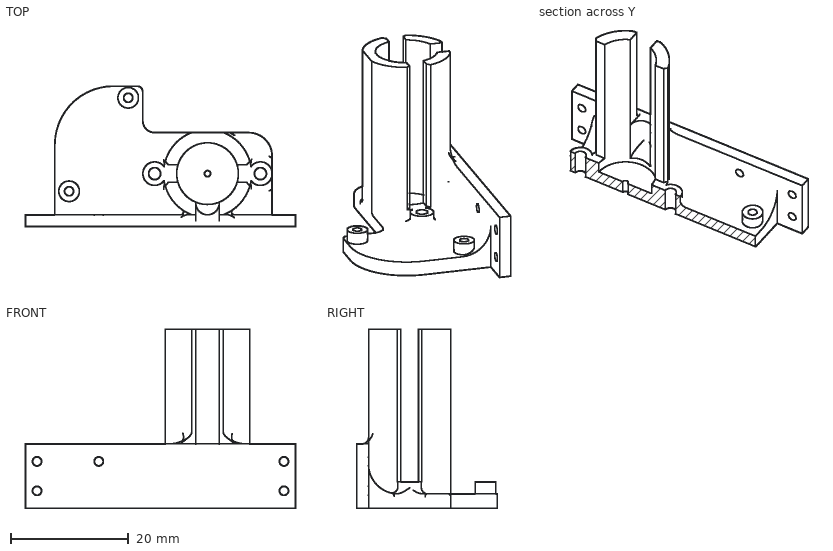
import cadquery as cq
import math

wall_length = 46.0
wall_thickness = 2.0
wall_height = 11.0
wall_hole_diameter = 1.5
wall_hole_margin = 2.0
wall_hole_rows = (3.0, 8.0)
extra_hole_x = 12.5

plate_thickness = 2.5
plate_left = 5.0
plate_right = 42.0
notch_x = 20.0
plate_back = 23.9
large_corner_radius = 10.0
tab_corner_radius = 1.0
notch_radius = 2.0
right_corner_radius = 4.0
wall_root_radius = 5.0
edge_round_radius = 0.5

axis_x = 31.0
axis_y = 9.0
tube_radius = 7.5
tube_half_depth = axis_y - wall_thickness
tube_back = axis_y + tube_half_depth
tube_top = 30.5
bore_diameter = 10.5
shaft_hole_diameter = 1.0
tube_root_radius = 0.46
side_slot_width = 3.0
front_slot_width = 4.0
wire_hole_y = 4.0

ring_blend_radius = 2.0
flat_blend_radius = 1.0
blend_top = wall_height + ring_blend_radius

boss_offset = 9.0
boss_diameter = 4.0
boss_hole_diameter = 2.0
boss_top = 4.5
boss_root_radius = 1.0
boss_foot_diameter = 6.6
screw_head_clearance = 5.5

selection_margin = 0.1

post_diameter = 3.5
post_hole_diameter = 1.5
post_top = boss_top
post_centers = ((17.5, 21.9), (7.45, 6.0))


def block(x_min, x_max, y_min, y_max, z_min, z_max):
    """Box given by its limits along each axis."""
    size = (x_max - x_min, y_max - y_min, z_max - z_min)
    return cq.Workplane("XY").box(*size, centered=False).translate((x_min, y_min, z_min))


def cylinder(x, y, diameter, z_min, z_max):
    """Upright cylinder."""
    return cq.Workplane("XY", origin=(x, y, z_min)).circle(diameter / 2).extrude(z_max - z_min)


def ring_blend():
    """Concave ring blend around the tube, standing on the level of the wall's top."""
    sag = ring_blend_radius * (1 - math.sqrt(0.5))
    core_radius = tube_radius / 2
    return (
        cq.Workplane("XZ", origin=(axis_x, axis_y, 0))
        .moveTo(core_radius, wall_height)
        .lineTo(tube_radius + ring_blend_radius, wall_height)
        .threePointArc((tube_radius + sag, wall_height + sag), (tube_radius, blend_top))
        .lineTo(core_radius, blend_top)
        .close()
        .revolve(360, (0, 0, 0), (0, 1, 0))
    )


def plate_outline():
    """Plan of the base plate, from the wall's front face to the back edge, as a tall prism."""
    outline = (
        cq.Workplane("XY")
        .moveTo(plate_left, 0)
        .lineTo(plate_right, 0)
        .lineTo(plate_right, tube_back)
        .lineTo(notch_x, tube_back)
        .lineTo(notch_x, plate_back)
        .lineTo(plate_left, plate_back)
        .close()
        .extrude(blend_top)
    )
    for x, y, radius in (
        (plate_right, tube_back, right_corner_radius),
        (notch_x, tube_back, notch_radius),
        (notch_x, plate_back, tab_corner_radius),
        (plate_left, plate_back, large_corner_radius),
    ):
        corner = cq.selectors.NearestToPointSelector((x, y, blend_top / 2))
        outline = outline.edges("|Z").edges(corner).fillet(radius)
    return outline


def make_section():
    """Plate and wall section with the large concave root, running the length of the wall."""
    root_y = wall_thickness + wall_root_radius
    root_z = plate_thickness + wall_root_radius
    arc_reach = wall_root_radius * math.sqrt(0.5)
    return (
        cq.Workplane("YZ")
        .lineTo(plate_back, 0)
        .lineTo(plate_back, plate_thickness)
        .lineTo(root_y, plate_thickness)
        .threePointArc((root_y - arc_reach, root_z - arc_reach), (wall_thickness, root_z))
        .lineTo(wall_thickness, blend_top)
        .lineTo(0, blend_top)
        .close()
        .extrude(wall_length)
    )


def make_base():
    """Plate with its large concave root, and the mounting wall."""
    base = make_section().intersect(plate_outline())
    left = base.intersect(block(0, axis_x, 0, plate_back, 0, wall_height))
    right = base.intersect(block(axis_x, wall_length, 0, plate_back, 0, wall_height))
    back_edge = cq.selectors.NearestToPointSelector((axis_x + boss_offset / 2, tube_back, plate_thickness))
    right = right.edges(back_edge).fillet(edge_round_radius)
    wall = block(0, wall_length, 0, wall_thickness, 0, wall_height)
    return left.union(right).union(wall)


def make_tube():
    """Solid tube body with flats at the front and the back."""
    flats = block(0, wall_length, wall_thickness, tube_back, 0, tube_top)
    return cylinder(axis_x, axis_y, 2 * tube_radius, 0, tube_top).intersect(flats)


def make_foot(x, y, radius, top, root_radius):
    """Upright cylinder on the full section, with a concave round where the two meet."""
    foot = make_section().union(cylinder(x, y, 2 * radius, 0, top))
    seam = cq.selectors.BoxSelector(
        (x - radius, wall_thickness - selection_margin, plate_thickness - selection_margin),
        (x + radius, y + radius, top - selection_margin),
    )
    return foot.edges(seam).fillet(root_radius)


def make_tube_root():
    """Foot of the tube, blending into the plate, its root and the wall."""
    foot = make_foot(axis_x, axis_y, tube_radius, blend_top, tube_root_radius)
    reach = tube_radius + tube_root_radius
    front = block(axis_x - reach, axis_x + reach, wall_thickness, axis_y, 0, blend_top)
    back = cylinder(axis_x, axis_y, 2 * reach, 0, blend_top)
    back = back.intersect(block(0, wall_length, axis_y, tube_back, 0, blend_top))
    return foot.intersect(front.union(back))


def flat_blend():
    """Concave blend between the top of the wall and the plane of the tube's front flat."""
    sag = flat_blend_radius * (1 - math.sqrt(0.5))
    return (
        cq.Workplane("YZ")
        .moveTo(wall_thickness - flat_blend_radius, wall_height)
        .threePointArc(
            (wall_thickness - sag, wall_height + sag),
            (wall_thickness, wall_height + flat_blend_radius),
        )
        .lineTo(wall_thickness, wall_height)
        .close()
        .extrude(wall_length)
    )


def make_body():
    """Base, wall and solid tube with all the blends between them."""
    ring = ring_blend()
    root = make_tube_root()
    lower_root = root.intersect(block(0, wall_length, 0, plate_back, 0, wall_height))
    upper_root = root.intersect(ring)
    front_blend = flat_blend().intersect(ring)
    body = make_base().union(make_tube())
    for part in (lower_root, upper_root, front_blend):
        body = body.union(part)
    return body


def add_screw_bosses(body):
    """Bosses with concave roots, clear of the tube wall above for the screw heads."""
    outline = plate_outline()
    for x in (axis_x - boss_offset, axis_x + boss_offset):
        boss = make_foot(x, axis_y, boss_diameter / 2, boss_top, boss_root_radius)
        boss = boss.intersect(cylinder(x, axis_y, boss_foot_diameter, 0, boss_top))
        body = body.union(boss.intersect(outline))
        body = body.cut(cylinder(x, axis_y, screw_head_clearance, boss_top, tube_top))
        body = body.cut(cylinder(x, axis_y, boss_hole_diameter, 0, boss_top))
    return body


def hollow_tube(body):
    """Motor bore, shaft hole, side slots, front slot and wire hole."""
    side_slot = block(
        axis_x - tube_radius, axis_x + tube_radius,
        axis_y - side_slot_width / 2, axis_y + side_slot_width / 2,
        boss_top, tube_top,
    )
    front_slot = block(
        axis_x - front_slot_width / 2, axis_x + front_slot_width / 2,
        0, axis_y,
        wall_height, tube_top,
    )
    wire_hole = cylinder(axis_x, wire_hole_y, front_slot_width, plate_thickness, tube_top).cut(make_section())
    bore = cylinder(axis_x, axis_y, bore_diameter, plate_thickness, tube_top)
    shaft_hole = cylinder(axis_x, axis_y, shaft_hole_diameter, 0, plate_thickness)
    for tool in (side_slot, front_slot, wire_hole, bore, shaft_hole):
        body = body.cut(tool)
    return body


def add_posts(body):
    """Drilled standoff posts; their holes pass through the plate."""
    for x, y in post_centers:
        body = body.union(cylinder(x, y, post_diameter, 0, post_top))
        body = body.cut(cylinder(x, y, post_hole_diameter, 0, post_top))
    return body


def drill_wall(body):
    """Mounting holes at both ends of the wall, and a single one above the root."""
    centers = [
        (x, z)
        for x in (wall_hole_margin, wall_length - wall_hole_margin)
        for z in wall_hole_rows
    ]
    centers.append((extra_hole_x, wall_hole_rows[1]))
    depth = wall_thickness + wall_root_radius
    for x, z in centers:
        hole = cq.Workplane("XZ", origin=(x, 0, z)).circle(wall_hole_diameter / 2).extrude(-depth)
        body = body.cut(hole)
    return body


body = make_body()
body = add_screw_bosses(body)
body = hollow_tube(body)
body = add_posts(body)
result = drill_wall(body)